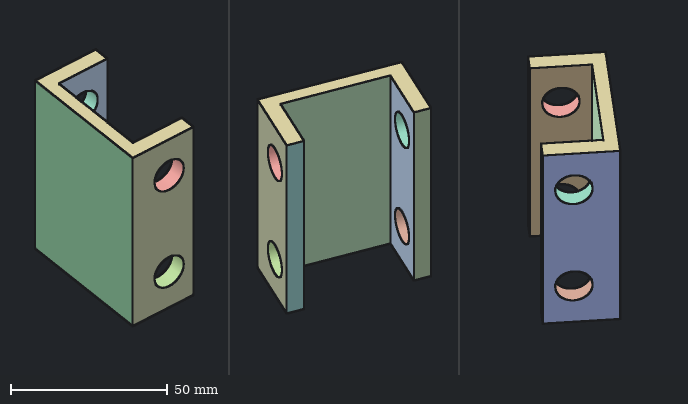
import cadquery as cq

width = 50.0
depth = 25.0
height = 70.0

flange_thickness = 6.0
web_thickness = 5.0

hole_diameter = 12.0
hole_to_open_edge = 10.0
hole_to_end = 15.0


def channel():
    """U-shaped channel, web on the -Y side and open towards +Y."""
    block = cq.Workplane("XY").box(width, depth, height)
    opening_width = width - 2 * flange_thickness
    opening_depth = depth - web_thickness
    opening = (
        cq.Workplane("XY")
        .box(opening_width, opening_depth, height)
        .translate((0, web_thickness / 2, 0))
    )
    return block.cut(opening)


def flange_holes():
    """Two cylinders along X, one near each end of the channel."""
    hole_y = depth / 2 - hole_to_open_edge
    hole_z = height / 2 - hole_to_end
    return (
        cq.Workplane("YZ")
        .pushPoints([(hole_y, -hole_z), (hole_y, hole_z)])
        .circle(hole_diameter / 2)
        .extrude(width / 2, both=True)
    )


result = channel().cut(flange_holes())